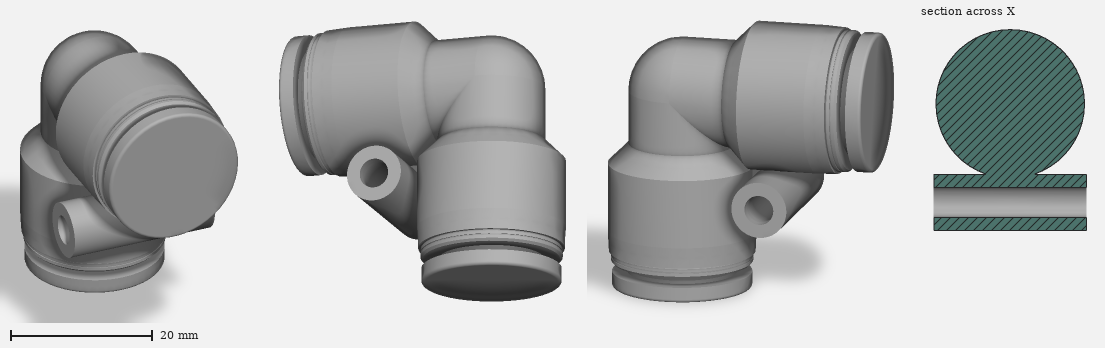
import cadquery as cq


body_diameter = 21.0
overall_length = 38.9
body_radius = body_diameter / 2
branch_length = overall_length - body_radius

bend_radius = 7.6
cone_end = body_radius

taper_start = 20.3
taper_end = 23.25
rim_radius = 10.35

ring_radius = 10.05
ring_chamfer = 0.35
ring_lead_in = 0.2
ring_end = 24.9
groove_start = 23.9
groove_width = 0.2
groove_depth = 0.15

collar_radius = 7.55
flare_start = 25.75
flare_height = 0.2
flange_radius = 9.9
flange_start = 26.2
flange_rounding = 0.45

lug_diameter = 8.0
lug_hole_diameter = 4.2
lug_length = 21.5
lug_offset = 13.9
web_thickness = 2.0


def make_branch():
    """Solid of revolution around +X, from the origin to the flange end."""
    ring_root = ring_radius - groove_depth
    groove_end = groove_start + groove_width
    profile = (
        cq.Workplane("XZ")
        .lineTo(0, bend_radius)
        .lineTo(bend_radius, bend_radius)
        .lineTo(cone_end, body_radius)
        .lineTo(taper_start, body_radius)
        .lineTo(taper_end, rim_radius)
        .lineTo(taper_end, ring_root)
        .lineTo(taper_end + ring_lead_in, ring_radius)
        .lineTo(groove_start, ring_radius)
        .lineTo(groove_start, ring_root)
        .lineTo(groove_end, ring_root)
        .lineTo(groove_end, ring_radius)
        .lineTo(ring_end - ring_chamfer, ring_radius)
        .lineTo(ring_end, ring_radius - ring_chamfer)
        .lineTo(ring_end, collar_radius)
        .lineTo(flare_start, collar_radius)
        .lineTo(flange_start, collar_radius + flare_height)
        .lineTo(flange_start, flange_radius)
        .lineTo(branch_length - flange_rounding, flange_radius)
        .radiusArc((branch_length, flange_radius - flange_rounding), flange_rounding)
        .lineTo(branch_length, 0)
        .close()
    )
    return profile.revolve(360, (0, 0, 0), (1, 0, 0))


def make_lug():
    """Cylinder across the inner corner and the web that joins it to the body."""
    lug = (
        cq.Workplane("XZ")
        .center(lug_offset, -lug_offset)
        .circle(lug_diameter / 2)
        .extrude(lug_length / 2, both=True)
    )
    web = (
        cq.Workplane("XZ")
        .rect(lug_offset, -lug_offset, centered=False)
        .extrude(web_thickness / 2, both=True)
    )
    return lug.union(web)


def make_lug_hole():
    return (
        cq.Workplane("XZ")
        .center(lug_offset, -lug_offset)
        .circle(lug_hole_diameter / 2)
        .extrude(lug_length, both=True)
    )


horizontal_branch = make_branch()
vertical_branch = horizontal_branch.rotate((0, 0, 0), (0, 1, 0), 90)
bend_ball = cq.Workplane("XY").sphere(bend_radius)

result = (
    horizontal_branch
    .union(vertical_branch)
    .union(bend_ball)
    .union(make_lug())
    .cut(make_lug_hole())
)